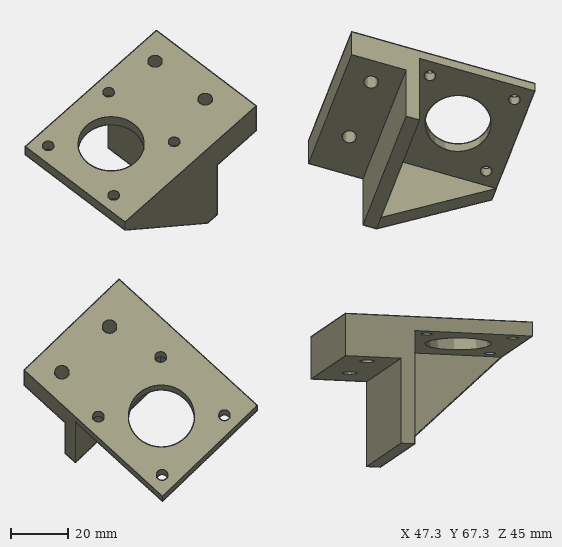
import cadquery as cq

width = 47.3
length = 67.3
height = 45.0
thickness = 5.0

block_depth = 20.0
block_height = 15.0

motor_bore = 23.0
motor_screw_hole = 4.0
motor_screw_spacing = 31.0
motor_x = (width - thickness) / 2
motor_y = (length - block_depth - thickness) / 2

block_hole = 5.0
block_hole_spacing = 23.75
block_hole_pair_x = 20.45
block_hole_y = length - block_depth / 2

plate_bottom = height - thickness
wall_back = length - block_depth
wall_front = wall_back - thickness


def make_profile():
    """Plate, upright wall and rear block as one side outline swept across the width."""
    outline = [
        (0, height),
        (length, height),
        (length, height - block_height),
        (wall_back, height - block_height),
        (wall_back, 0),
        (wall_front, 0),
        (wall_front, plate_bottom),
        (0, plate_bottom),
    ]
    return cq.Workplane("YZ").polyline(outline).close().extrude(width)


def make_gusset():
    """Triangular web joining the wall to the plate along the right edge."""
    outline = [(0, plate_bottom), (wall_front, 0), (wall_front, plate_bottom)]
    return (
        cq.Workplane("YZ", origin=(width - thickness, 0, 0))
        .polyline(outline)
        .close()
        .extrude(thickness)
    )


def vertical_holes(points, diameter, depth):
    """Cylinders reaching down from the top face."""
    return (
        cq.Workplane("XY", origin=(0, 0, height))
        .pushPoints(points)
        .circle(diameter / 2)
        .extrude(-depth)
    )


half_screw = motor_screw_spacing / 2
motor_screws = [
    (motor_x + side * half_screw, motor_y + end * half_screw)
    for side in (-1, 1)
    for end in (-1, 1)
]
block_holes = [
    (block_hole_pair_x + side * block_hole_spacing / 2, block_hole_y)
    for side in (-1, 1)
]

result = make_profile().union(make_gusset())
result = result.cut(vertical_holes([(motor_x, motor_y)], motor_bore, thickness))
result = result.cut(vertical_holes(motor_screws, motor_screw_hole, thickness))
result = result.cut(vertical_holes(block_holes, block_hole, block_height))